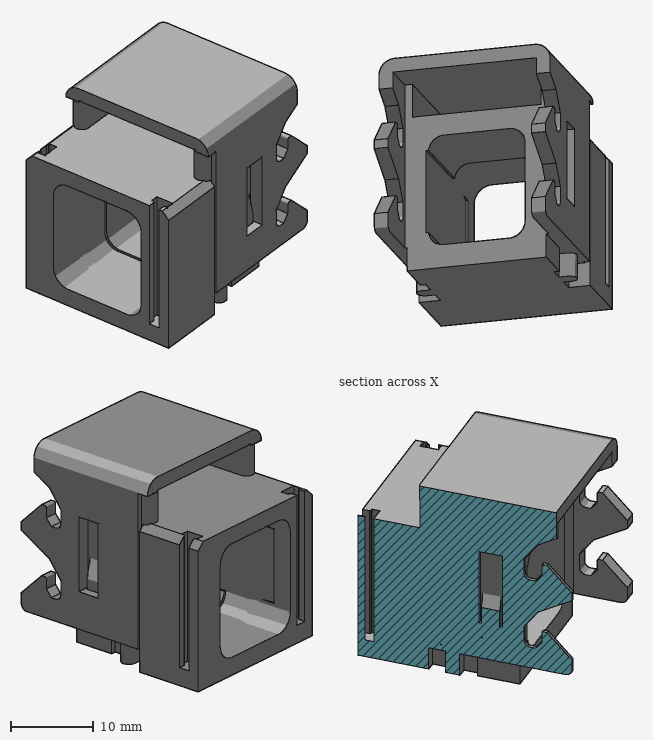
import cadquery as cq

width = 21.8
length = 28.0
height = 25.75
half_width = width / 2

block_length = 9.27
block_height = 19.77
block_chamfer = 0.98

cover_thickness = 1.75
cover_radius = 2.0
roof_front = 8.05
roof_back = 25.98
wall_front = 9.52
wall_bottom = 3.0
wall_corner_radius = 0.9
roof_underside = height - cover_thickness
lip_underside = 23.77

hook_pitch = 9.5
gap_roof_end_z = 23.13
gap_roof_knee = (23.55, 20.55)
hook_neck_y = 21.73
neck_top_z = 18.15
notch_floor_z = 15.45
notch_floor_end_y = 23.2
notch_slope_top_z = 16.4
hook_tip_y = 24.02
hook_tip_z = 17.98
hook_flat_end_y = 24.75
hook_point_z = 14.75
notch_radius = 0.85
hook_tip_radius = 0.25

body_back = 20.92
inner_wall_outer_x = half_width - 0.7
inner_wall_inner_x = half_width - 2.72
post_radius = (inner_wall_outer_x - inner_wall_inner_x) / 2
post_centre_y = roof_front + post_radius

foot_front = 15.37
foot_outer_x = half_width - 2.05
rib_centre_y = 12.38
rib_radius = 0.98

opening_half_width = 6.7
opening_height = 15.18
opening_centre_z = 10.0
opening_radius = 2.27
taper_front = 4.98
taper_back = 6.1
taper_inset = 0.25
step_y = 10.0
step_inset = 0.53
inner_radius = opening_radius - taper_inset
relief_height = 10.58

pocket_front = 2.58
pocket_back = 4.35
pocket_depth = 0.28
pocket_bottom = 5.05

slot_bottom = 2.4
slot_neck_width = 1.48
slot_head_width = 2.38
slot_head_start = 1.05
slot_head_end = 2.1
slot_neck_chamfer = 0.15
side_slot_y = 2.2
front_slot_x = 8.7

window_front = 15.85
window_back = 18.87
window_bottom = 8.0
window_top = 17.98
ramp_clearance = 0.3
ramp_height = 0.55
ramp_crest_z = 9.38
ramp_top_z = 11.98


def box(x0, x1, y0, y1, z0, z1):
    """Box between two opposite corners."""
    return cq.Workplane("XY").box(x1 - x0, y1 - y0, z1 - z0, centered=False).translate((x0, y0, z0))


def both_sides(part):
    """The part together with its mirror image across the YZ plane."""
    return part.union(part.mirror("YZ"))


def front_block():
    block = box(-half_width, half_width, 0, block_length, 0, block_height)
    return block.edges(">Z and |Y").chamfer(block_chamfer)


def hook_gap(drop):
    """Gap above one hook, as a cutter through both walls, lowered by drop."""
    outline = [
        (length, gap_roof_end_z),
        gap_roof_knee,
        (hook_neck_y, neck_top_z),
        (hook_neck_y, notch_floor_z),
        (notch_floor_end_y, notch_floor_z),
        (hook_tip_y, notch_slope_top_z),
        (hook_tip_y, hook_tip_z),
        (hook_flat_end_y, hook_tip_z),
        (length, hook_point_z),
    ]
    gap = cq.Workplane("YZ").polyline(outline).close().extrude(half_width, both=True)
    notch_corner = cq.selectors.NearestToPointSelector((0, hook_neck_y, notch_floor_z))
    tip_corner = cq.selectors.NearestToPointSelector((0, hook_tip_y, hook_tip_z))
    gap = gap.edges(notch_corner).fillet(notch_radius).edges(tip_corner).fillet(hook_tip_radius)
    return gap.translate((0, 0, -drop))


def cover():
    shell = box(-half_width, half_width, roof_front, length, wall_bottom, height)
    shell = shell.edges(">Z and |Y").fillet(cover_radius)
    shell = shell.edges(">Y and <Z and |X").fillet(wall_corner_radius)
    hollow_x = half_width - cover_thickness
    shell = shell.cut(box(-hollow_x, hollow_x, roof_front, length, wall_bottom, roof_underside))
    shell = shell.cut(box(-half_width, half_width, roof_front, wall_front, wall_bottom, lip_underside))
    shell = shell.cut(box(-half_width, half_width, roof_back, length, hook_tip_z, height))
    for row in range(2):
        shell = shell.cut(hook_gap(row * hook_pitch))
    lip = box(half_width - cover_radius, half_width - cover_thickness, roof_front, wall_front,
              lip_underside, roof_underside)
    return shell.union(both_sides(lip))


def body():
    core = box(-inner_wall_inner_x, inner_wall_inner_x, block_length, body_back, 0, block_height)
    inner_wall = box(inner_wall_inner_x, inner_wall_outer_x, post_centre_y, body_back,
                     wall_bottom, roof_underside)
    post = (
        cq.Workplane("XY", origin=(inner_wall_outer_x - post_radius, post_centre_y, wall_bottom))
        .circle(post_radius)
        .extrude(roof_underside - wall_bottom)
    )
    return core.union(both_sides(inner_wall.union(post)))


def feet():
    foot = box(inner_wall_inner_x, foot_outer_x, foot_front, body_back, 0, wall_bottom)
    rib_end_x = inner_wall_outer_x - rib_radius
    rib = box(inner_wall_inner_x, rib_end_x, rib_centre_y - rib_radius, rib_centre_y + rib_radius,
              0, wall_bottom)
    rib_end = (
        cq.Workplane("XY", origin=(rib_end_x, rib_centre_y, 0))
        .circle(rib_radius)
        .extrude(wall_bottom)
    )
    return both_sides(foot.union(rib).union(rib_end))


def opening_sketch(inset, radius):
    """Rounded rectangle of the opening, moved inwards by inset."""
    return (
        cq.Sketch()
        .rect(2 * (opening_half_width - inset), opening_height - 2 * inset)
        .vertices()
        .fillet(radius)
    )


def opening_length(y0, y1, inset, radius):
    """Straight length of the opening."""
    plane = cq.Workplane("XZ", origin=(0, y0, opening_centre_z))
    return plane.placeSketch(opening_sketch(inset, radius)).extrude(y0 - y1)


def opening():
    entry = opening_length(0, taper_front, 0, opening_radius)
    taper_shift = cq.Location(cq.Vector(0, 0, taper_front - taper_back))
    taper_end = opening_sketch(taper_inset, inner_radius).moved(taper_shift)
    taper = (
        cq.Workplane("XZ", origin=(0, taper_front, opening_centre_z))
        .placeSketch(opening_sketch(0, opening_radius), taper_end)
        .loft()
    )
    middle = opening_length(taper_back, step_y, taper_inset, inner_radius)
    rear = opening_length(step_y, body_back, step_inset, inner_radius)
    relief = box(0, opening_half_width - taper_inset, step_y, body_back,
                 opening_centre_z - relief_height / 2, opening_centre_z + relief_height / 2)
    return entry.union(taper).union(middle).union(rear).union(relief)


def catch_pocket():
    """Wedge-shaped pocket, deepest at its front end."""
    outline = [
        (opening_half_width, pocket_front),
        (opening_half_width + pocket_depth, pocket_front),
        (opening_half_width, pocket_back),
    ]
    pocket_height = 2 * (opening_centre_z - pocket_bottom)
    plane = cq.Workplane("XY", origin=(0, 0, pocket_bottom))
    return plane.polyline(outline).close().extrude(pocket_height)


def t_slot():
    """T-slot cutter that opens at Y = 0 and runs up from the slot bottom."""
    neck = slot_neck_width / 2
    head = slot_head_width / 2
    half_outline = [
        (neck, 0),
        (neck, slot_head_start - slot_neck_chamfer),
        (neck + slot_neck_chamfer, slot_head_start),
        (head, slot_head_start),
        (head, slot_head_end),
    ]
    mirrored = [(-x, y) for x, y in reversed(half_outline)]
    plane = cq.Workplane("XY", origin=(0, 0, slot_bottom))
    return plane.polyline(half_outline + mirrored).close().extrude(block_height - slot_bottom)


def t_slots():
    front_slot = t_slot().translate((front_slot_x, 0, 0))
    side_slot = t_slot().rotate((0, 0, 0), (0, 0, 1), -90).translate((-half_width, side_slot_y, 0))
    return front_slot.union(side_slot)


def latch_windows():
    return both_sides(box(half_width - cover_thickness, half_width, window_front, window_back,
                          window_bottom, window_top))


def latch_ramps():
    base_x = half_width - cover_thickness
    outline = [
        (base_x, window_bottom),
        (base_x + ramp_height, window_bottom),
        (base_x + ramp_height, ramp_crest_z),
        (base_x, ramp_top_z),
    ]
    ramp_front = window_front + ramp_clearance
    ramp_back = window_back - ramp_clearance
    plane = cq.Workplane("XZ", origin=(0, ramp_front, 0))
    return both_sides(plane.polyline(outline).close().extrude(ramp_front - ramp_back))


result = (
    front_block()
    .union(body())
    .union(cover())
    .union(feet())
    .cut(opening())
    .cut(catch_pocket())
    .cut(t_slots())
    .cut(latch_windows())
    .union(latch_ramps())
)